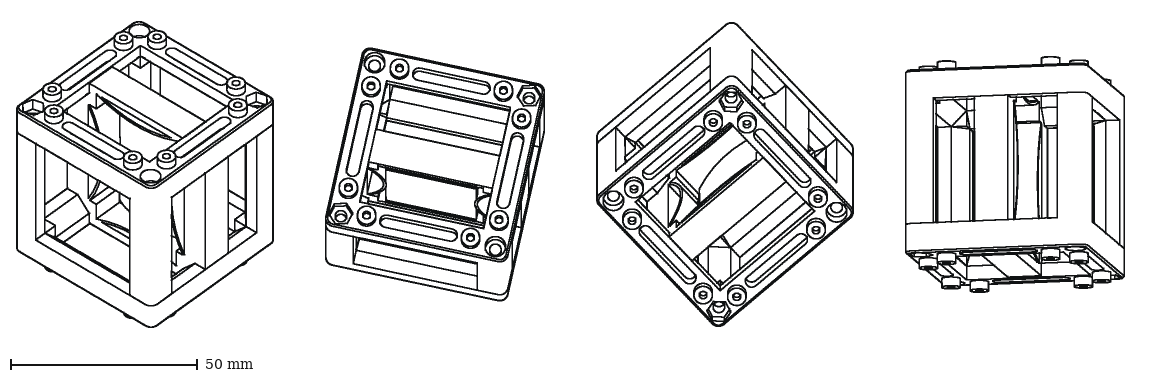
import cadquery as cq
import math

cube_side = 49.8
half_cube = cube_side / 2
window_half = 16.95
chamfer_reach = 21.15
corner_radius = 2.25
rim_chamfer = 0.5
overall_height = 54.5

screw_diameter = 4.95
screw_height = (overall_height - cube_side) / 2
socket_diameter = 2.05
bar_line = 20.6
screw_offset = 14.2

slot_length = 21.1
slot_width = 3.4
slot_depth = 4.0

bolt_offset = 21.15
bolt_diameter = 3.1
bolt_head_diameter = 5.5
nut_corner_diameter = 6.4
head_recess_depth = 4.0
nut_corner_angle = 15
nut_pocket_depth = 3.3

insert_front = -3.5
insert_back = 5.65
insert_thickness = insert_back - insert_front
insert_reach_x = half_cube
insert_reach_z = 24.6
opening_height = 0.25
opening_half_x = 17.35
opening_half_z = 21.95
corner_block_x = 14.4
corner_block_z = 16.8

spring_thickness = 0.7
side_spring_end = 16.75
side_spring_peak = 12.1
end_spring_peak = 19.1

lens_width = 24.75
lens_shift = -0.15
lens_height = 2 * end_spring_peak
lens_radius = 32.7
lens_edge_front = 3.75


def box_between(low, high):
    size = [b - a for a, b in zip(low, high)]
    return cq.Workplane("XY").box(*size, centered=False).translate(low)


def cube_shell():
    """Open cube whose twelve bars have a bevelled inner edge."""
    shell = cq.Workplane("XY").box(cube_side, cube_side, cube_side)
    shell = shell.edges("|Z").fillet(corner_radius)
    shell = shell.faces("<Z or >Z").edges().chamfer(rim_chamfer)
    bevel_side = math.sqrt(2) * (window_half + chamfer_reach)
    for plane in ("XY", "YZ", "XZ"):
        window = cq.Workplane(plane).rect(2 * window_half, 2 * window_half).extrude(half_cube, both=True)
        bevel = (
            cq.Workplane(plane)
            .transformed(rotate=(0, 0, 45))
            .rect(bevel_side, bevel_side)
            .extrude(window_half, both=True)
        )
        shell = shell.cut(window).cut(bevel)
    return shell


def bar_points(along):
    """One point on the centre line of each of the four bars of an end face."""
    points = []
    for side in (-bar_line, bar_line):
        points += [(along, side), (side, along)]
    return points


def end_face_slots():
    slots = cq.Workplane("XY")
    slot_floor = cq.Workplane("XY", origin=(0, bar_line, half_cube - slot_depth))
    slot = slot_floor.slot2D(slot_length, slot_width).extrude(slot_depth)
    for turn in (0, 90, 180, 270):
        slots = slots.add(slot.rotate((0, 0, 0), (0, 0, 1), turn))
    return slots.combine()


def bolt_recesses():
    """Through holes, with nut pockets on one diagonal and head recesses on the other."""
    near, far = -bolt_offset, bolt_offset
    holes = (
        cq.Workplane("XY")
        .rect(2 * bolt_offset, 2 * bolt_offset, forConstruction=True)
        .vertices()
        .circle(bolt_diameter / 2)
        .extrude(half_cube, both=True)
    )
    heads = cq.Workplane("XY", origin=(0, 0, half_cube - head_recess_depth))
    heads = heads.pushPoints([(near, far), (far, near)]).circle(bolt_head_diameter / 2)
    holes = holes.union(heads.extrude(head_recess_depth))
    for place in ((near, near), (far, far)):
        nut = cq.Workplane("XY", origin=(0, 0, half_cube - nut_pocket_depth))
        nut = nut.polygon(6, nut_corner_diameter).extrude(nut_pocket_depth)
        nut = nut.rotate((0, 0, 0), (0, 0, 1), nut_corner_angle).translate((*place, 0))
        holes = holes.union(nut)
    return holes


def end_screws():
    points = bar_points(-screw_offset) + bar_points(screw_offset)
    screws = cq.Workplane("XY", origin=(0, 0, half_cube)).pushPoints(points)
    return screws.circle(screw_diameter / 2).circle(socket_diameter / 2).extrude(screw_height)


def frame_half():
    """Upper half: the end ring and the two posts on the (-X, +Y) and (+X, -Y) edges."""
    shell = cube_shell()
    keep = box_between((-half_cube, -half_cube, window_half), (half_cube, half_cube, half_cube))
    for turn in (-90, 90):
        post = box_between((0, 0, -window_half), (half_cube, half_cube, window_half))
        keep = keep.union(post.rotate((0, 0, 0), (0, 0, 1), turn))
    half = shell.intersect(keep)
    half = half.cut(end_face_slots()).cut(bolt_recesses())
    return half.union(end_screws())


def insert_outline():
    """Corners of a cross that fills the windows and follows the bevels of the bars."""
    quarter = [
        (insert_reach_x, window_half),
        (chamfer_reach, window_half),
        (window_half, chamfer_reach),
        (window_half, insert_reach_z),
    ]
    upper = quarter + [(-x, z) for x, z in reversed(quarter)]
    return upper + [(-x, -z) for x, z in upper]


def extruded(profile):
    """Extrude an XZ profile through the thickness of the insert."""
    return profile.extrude(-insert_thickness)


def front_plane(height):
    return cq.Workplane("XZ", origin=(0, insert_front, height))


def opening_arm(half_x, half_z):
    return extruded(front_plane(opening_height).rect(2 * half_x, 2 * half_z))


def leaf_spring(half_span, end, peak):
    """Arc-shaped strip on the +X side of the opening, bulging inward to `peak`."""
    sag = end - peak
    radius = (half_span**2 + sag**2) / (2 * sag)
    arc = front_plane(opening_height).center(peak + radius, 0)
    return extruded(arc.circle(radius).circle(radius - spring_thickness))


def lens_insert():
    wide_arm = opening_arm(opening_half_x, corner_block_z)
    tall_arm = opening_arm(corner_block_x, opening_half_z)
    side_spring = leaf_spring(corner_block_z, side_spring_end, side_spring_peak)
    end_spring = leaf_spring(corner_block_x, opening_half_z, end_spring_peak)
    body = extruded(front_plane(0).polyline(insert_outline()).close())
    body = body.cut(wide_arm).cut(tall_arm)
    axis_start = (0, 0, opening_height)
    axis_end = (0, 1, opening_height)
    for turn in (90, 270):
        side = side_spring.rotate(axis_start, axis_end, turn - 90).intersect(wide_arm)
        end = end_spring.rotate(axis_start, axis_end, turn).intersect(tall_arm)
        body = body.union(side).union(end)
    return body


def cylindrical_lens(carrier):
    """Upright lens, flat on +Y, relieved where the springs of its carrier press into its sides."""
    half = lens_width / 2
    crown = lens_radius - math.sqrt(lens_radius**2 - half**2)
    profile = (
        cq.Workplane("XY", origin=(lens_shift, 0, opening_height))
        .moveTo(-half, insert_back)
        .lineTo(-half, lens_edge_front)
        .threePointArc((0, lens_edge_front - crown), (half, lens_edge_front))
        .lineTo(half, insert_back)
        .close()
    )
    return profile.extrude(lens_height / 2, both=True).cut(carrier)


upper_half = frame_half()
lower_half = upper_half.rotate((0, 0, 0), (1, 0, 0), 180)
insert = lens_insert()
lens = cylindrical_lens(insert)

result = cq.Compound.makeCompound([upper_half.val(), lower_half.val(), insert.val(), lens.val()])